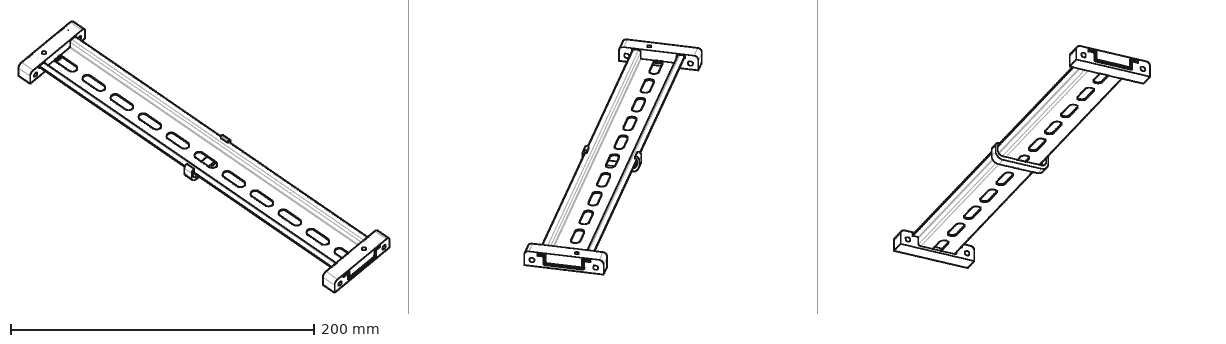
import cadquery as cq

TOTAL_LENGTH = 282.2
RAIL_WIDTH = 35.3
CHANNEL_WIDTH = 27.0
CHANNEL_DEPTH = 6.5
SHEET = 1.02
RAIL_HEIGHT = CHANNEL_DEPTH + SHEET
BEND_INNER_RADIUS = 0.42
BEND_OUTER_RADIUS = BEND_INNER_RADIUS + SHEET
RAIL_BASE_Z = -3.5
POSITION_TOLERANCE = 0.03

SLOT_LENGTH = 18.0
SLOT_WIDTH = 6.2
SLOT_COUNT = 11
SLOT_ROW_SPAN = 250.0
SLOT_PITCH = SLOT_ROW_SPAN / (SLOT_COUNT - 1)
SLOT_ROW_X = 1.7

BLOCK_LENGTH = 10.5
BLOCK_WIDTH = 54.0
BLOCK_HEIGHT = 11.0
BLOCK_BASE_Z = -5.6
BLOCK_CORNER_RADIUS = 3.0
POCKET_GAP = 0.42
MOUNT_HOLE_DIAMETER = 3.5
MOUNT_HOLE_SPACING = 43.2
MOUNT_HOLE_Z = -1.0
SCREW_HOLE_DIAMETER = 2.8
SCREW_HOLE_Y = 7.5

CLIP_X = 3.0
CLIP_LENGTH = 6.5
CLIP_WIDTH = 38.5
CLIP_HEIGHT = 12.0
CLIP_BASE_Z = -CLIP_HEIGHT / 2
CLIP_BASE_RADIUS = 5.0
HOOK_LENGTH = 2.8
HOOK_OUTER_RADIUS = 2.3
HOOK_TIP_RADIUS = 0.42


def rail_section_bar(gap):
    """Full-length bar with the rail's section, grown outward on every face by a gap."""
    half_width = RAIL_WIDTH / 2 + gap
    outer_wall = CHANNEL_WIDTH / 2 + gap
    inner_wall = CHANNEL_WIDTH / 2 - SHEET - gap
    base = RAIL_BASE_Z - gap
    floor = RAIL_BASE_Z + SHEET + gap
    lip_top = RAIL_BASE_Z + RAIL_HEIGHT + gap
    lip_under = RAIL_BASE_Z + RAIL_HEIGHT - SHEET - gap

    right_half = [
        (outer_wall, base),
        (outer_wall, lip_under),
        (half_width, lip_under),
        (half_width, lip_top),
        (inner_wall, lip_top),
        (inner_wall, floor),
    ]
    left_half = [(-y, z) for y, z in reversed(right_half)]
    bar = cq.Workplane("YZ").polyline(right_half + left_half).close().extrude(TOTAL_LENGTH / 2, both=True)

    def bend_edges(corners):
        """Lengthwise edges at the given corners and at their mirror images."""
        spots = [(side * y, z) for y, z in corners for side in (-1, 1)]
        return bar.edges("|X").filter(
            lambda edge: any(
                abs(edge.Center().y - y) + abs(edge.Center().z - z) < POSITION_TOLERANCE for y, z in spots
            )
        )

    bar = bend_edges([(outer_wall, base), (inner_wall, lip_top)]).fillet(BEND_OUTER_RADIUS)
    if gap == 0:
        bar = bend_edges([(outer_wall, lip_under), (inner_wall, floor)]).fillet(BEND_INNER_RADIUS)
    return bar


def make_rail():
    slots = (
        cq.Workplane("XY", origin=(SLOT_ROW_X, 0, RAIL_BASE_Z))
        .rarray(SLOT_PITCH, 2.8, SLOT_COUNT, 1)
        .slot2D(SLOT_LENGTH, SLOT_WIDTH)
        .extrude(SHEET)
    )
    return rail_section_bar(0).cut(slots)


def make_left_block():
    """Block on the -X end, with its set-screw hole off centre toward -Y."""
    outer_x = -TOTAL_LENGTH / 2
    block = (
        cq.Workplane("YZ", origin=(outer_x, 0, BLOCK_BASE_Z + BLOCK_HEIGHT / 2))
        .rect(BLOCK_WIDTH, BLOCK_HEIGHT)
        .extrude(BLOCK_LENGTH)
        .edges("|X and >Z")
        .fillet(BLOCK_CORNER_RADIUS)
    )
    mount_holes = (
        cq.Workplane("YZ", origin=(outer_x, 0, MOUNT_HOLE_Z))
        .rarray(MOUNT_HOLE_SPACING, 2.8, 2, 1)
        .circle(MOUNT_HOLE_DIAMETER / 2)
        .extrude(BLOCK_LENGTH)
    )
    screw_hole = (
        cq.Workplane("XY", origin=(outer_x + BLOCK_LENGTH / 2, -SCREW_HOLE_Y, RAIL_BASE_Z + SHEET))
        .circle(SCREW_HOLE_DIAMETER / 2)
        .extrude(BLOCK_HEIGHT)
    )
    return block.cut(mount_holes).cut(screw_hole).cut(rail_section_bar(POCKET_GAP))


def make_clip():
    body = (
        cq.Workplane("YZ", origin=(CLIP_X, 0, CLIP_BASE_Z + CLIP_HEIGHT / 2))
        .rect(CLIP_WIDTH, CLIP_HEIGHT)
        .extrude(CLIP_LENGTH / 2, both=True)
        .edges("|X and <Z")
        .fillet(CLIP_BASE_RADIUS)
    )
    side_wall = (CLIP_WIDTH - RAIL_WIDTH) / 2
    mouth = (
        cq.Workplane("XY", origin=(CLIP_X, 0, RAIL_BASE_Z + CHANNEL_DEPTH))
        .rect(CLIP_LENGTH, CLIP_WIDTH - 2 * HOOK_LENGTH)
        .extrude(CLIP_HEIGHT)
    )
    under_lips = (
        cq.Workplane("XY", origin=(CLIP_X, 0, RAIL_BASE_Z))
        .rect(CLIP_LENGTH, RAIL_WIDTH)
        .extrude(CHANNEL_DEPTH)
        .edges("|X and <Z")
        .fillet(CLIP_BASE_RADIUS - side_wall)
    )
    body = body.cut(mouth).cut(under_lips)
    body = body.edges("|X and >Z").edges("not(<Y or >Y)").fillet(HOOK_TIP_RADIUS)
    body = body.edges("|X and >Z").edges("<Y or >Y").fillet(HOOK_OUTER_RADIUS)
    return body.cut(rail_section_bar(0))


rail = make_rail()
left_block = make_left_block()
right_block = left_block.rotate((0, 0, 0), (0, 0, 1), 180)
clip = make_clip()

result = cq.Compound.makeCompound([rail.val(), left_block.val(), right_block.val(), clip.val()])